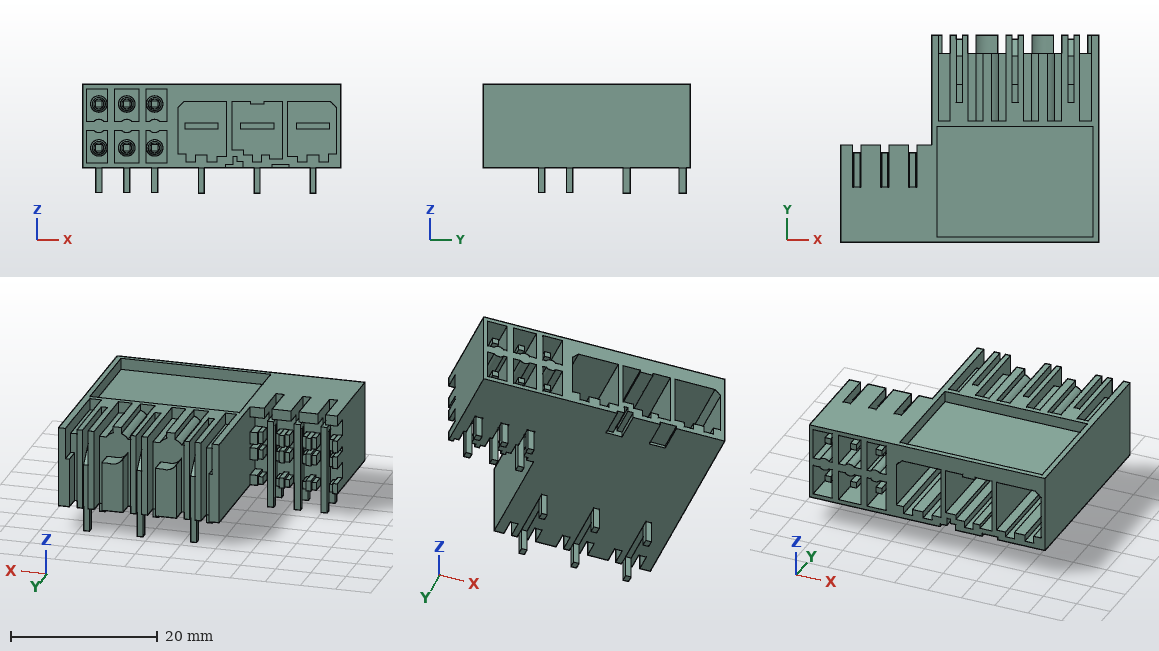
import cadquery as cq
import math

WIDTH = 35.25
DEPTH = 28.3
HEIGHT = 11.42
WING_DEPTH = 13.33
MID_HEIGHT = HEIGHT / 2

SIGNAL_PITCH = 3.8
SIGNAL_X = [2.22 + column * SIGNAL_PITCH for column in range(3)]
SIGNAL_ROW_OFFSET = 3.0
POWER_PITCH = 2 * SIGNAL_PITCH
POWER_X = [16.22 + column * POWER_PITCH for column in range(3)]
WING_WIDTH = 2 * POWER_X[1] - WIDTH

SIGNAL_WIRE = 0.88
SIGNAL_TIP_Y = 1.27
SIGNAL_TAIL = 3.4
LOWER_LEG_Y = 8.0
UPPER_LEG_Y = LOWER_LEG_Y + SIGNAL_PITCH
SIGNAL_ROWS = [
    (MID_HEIGHT - SIGNAL_ROW_OFFSET, LOWER_LEG_Y),
    (MID_HEIGHT + SIGNAL_ROW_OFFSET, UPPER_LEG_Y),
]

SOCKET_DEPTH = 6.35
SOCKET_WIDE_SIDE = 1.65
SOCKET_NARROW_SIDE = 1.2
SOCKET_TOP = HEIGHT - 0.65
DIVIDER_HALF = 0.6
DIVIDER_BUMP_RADIUS = 0.9
BOSS_BASE_RADIUS = 1.13
BOSS_SHOULDER_RADIUS = 0.88
BOSS_TOP_RADIUS = 0.67
BOSS_BASE_ANGLE = 70
BOSS_TOP_ANGLE = 21

WING_SLOT_WIDTH = 1.13
WING_NOTCH_DEPTH = 2.4
NOTCH_OUTER = 4.23
NOTCH_INNER = 2.0
NOTCH_MIDDLE = 0.28
RECESS_HALF = 1.55
RECESS_LEDGE_WIDTH = 0.65
RECESS_LEDGE_SETBACK = 0.53
TOP_TOOTH_LEDGE_DROP = 0.05
LOW_TOOTH_LEDGE_DROP = 0.35

BLADE_WIDTH = 4.5
BLADE_THICKNESS = 0.78
BLADE_TIP_Y = 6.35
PLATE_THICKNESS = 0.8
PLATE_FRONT_Y = 19.08
PLATE_STEP_Y = 21.58
PLATE_REAR_Y = 27.75
PLATE_CHAMFER = 2.3
PLATE_TOP = 8.45
POWER_TAIL = 3.5
POWER_TAIL_WIDTH = 1.02

POWER_SOCKET_DEPTH = 14.1
POWER_SOCKET_TOP = 9.05
POWER_SOCKET_HALF = 3.45
SOCKET_GROOVE_FLOOR = 0.78
SOCKET_RIB_TOP = 1.73

CODING_DEPTH = 4.23
CODING_LOW = 0.42

TOP_POCKET_MARGIN = 0.78
TOP_POCKET_LENGTH = 15.02
TOP_POCKET_FLOOR = HEIGHT - 1.62

WELL_FLOOR = TOP_POCKET_FLOOR
WELL_FRONT_Y = 16.57
WELL_REAR_Y = 25.8
OUTER_WALL = 1.0
POST_LEFT = 1.27
POST_RIGHT = 1.15
REAR_GAP = 1.1
RIDGE_AXIS_Z = 8.7
RIDGE_RADIUS = 1.9
RIB_WIDTH = 1.2
SADDLE_RADIUS = 1.75
SADDLE_ARC_END = 0.4
LEDGE_Z = RIDGE_AXIS_Z - math.sqrt(SADDLE_RADIUS**2 - SADDLE_ARC_END**2)


def block(x, y, z):
    """Box given by its (low, high) limits along each axis."""
    size = (x[1] - x[0], y[1] - y[0], z[1] - z[0])
    return cq.Workplane("XY").box(*size, centered=False).translate((x[0], y[0], z[0]))


def along_y(outline, start, end):
    """Extrude an X-Z outline along Y from start to end."""
    return outline.extrude(start - end).translate((0, start, 0))


def outline_along_y(points, start, end):
    return along_y(cq.Workplane("XZ").polyline(points).close(), start, end)


def around(centre, width):
    return (centre - width / 2, centre + width / 2)


def signal_pin(x, axis_z, leg_y):
    across = around(x, SIGNAL_WIRE)
    leg = around(leg_y, SIGNAL_WIRE)
    bar = block(across, (SIGNAL_TIP_Y, leg[1]), around(axis_z, SIGNAL_WIRE))
    tail = block(across, leg, (-SIGNAL_TAIL, axis_z))
    return bar.union(tail)


def power_contact(x):
    across = around(x, PLATE_THICKNESS)
    blade_z = around(MID_HEIGHT, BLADE_THICKNESS)
    blade = block(around(x, BLADE_WIDTH), (BLADE_TIP_Y, PLATE_FRONT_Y), blade_z)
    front_tail_end = PLATE_FRONT_Y + POWER_TAIL_WIDTH
    rear_tail_start = PLATE_REAR_Y - POWER_TAIL_WIDTH
    plate = (
        cq.Workplane("YZ")
        .moveTo(PLATE_FRONT_Y, -POWER_TAIL)
        .lineTo(PLATE_FRONT_Y, blade_z[1])
        .lineTo(PLATE_STEP_Y, blade_z[1])
        .lineTo(PLATE_STEP_Y, PLATE_TOP)
        .lineTo(PLATE_REAR_Y - PLATE_CHAMFER, PLATE_TOP)
        .lineTo(PLATE_REAR_Y, PLATE_TOP - PLATE_CHAMFER)
        .lineTo(PLATE_REAR_Y, -POWER_TAIL)
        .lineTo(rear_tail_start, -POWER_TAIL)
        .lineTo(rear_tail_start, 0)
        .lineTo(front_tail_end, 0)
        .lineTo(front_tail_end, -POWER_TAIL)
        .close()
        .extrude(PLATE_THICKNESS)
        .translate((across[0], 0, 0))
    )
    return blade.union(plate)


def signal_boss(x, z):
    base_height = (BOSS_BASE_RADIUS - BOSS_SHOULDER_RADIUS) * math.tan(math.radians(BOSS_BASE_ANGLE))
    top_height = (BOSS_SHOULDER_RADIUS - BOSS_TOP_RADIUS) * math.tan(math.radians(BOSS_TOP_ANGLE))
    profile = [
        (0, 0),
        (BOSS_BASE_RADIUS, 0),
        (BOSS_SHOULDER_RADIUS, -base_height),
        (BOSS_TOP_RADIUS, -base_height - top_height),
        (0, -base_height - top_height),
    ]
    boss = cq.Workplane("XY").polyline(profile).close().revolve(360, (0, 0, 0), (0, 1, 0))
    return boss.translate((x, SOCKET_DEPTH, z))


def signal_sockets():
    """Upper and lower socket of every column, with a round bump on the divider between them."""
    left_sides = [SOCKET_WIDE_SIDE, SOCKET_WIDE_SIDE, SOCKET_NARROW_SIDE]
    right_sides = [SOCKET_NARROW_SIDE, SOCKET_WIDE_SIDE, SOCKET_WIDE_SIDE]
    sockets = cq.Workplane("XY")
    for x, left, right in zip(SIGNAL_X, left_sides, right_sides):
        across = (x - left, x + right)
        length = (0, SOCKET_DEPTH)
        column = block(across, length, (HEIGHT - SOCKET_TOP, SOCKET_TOP))
        divider = block(across, length, around(MID_HEIGHT, 2 * DIVIDER_HALF))
        bump = along_y(cq.Workplane("XZ").center(x, MID_HEIGHT).circle(DIVIDER_BUMP_RADIUS), *length)
        column = column.cut(divider).cut(bump)
        for z, _ in SIGNAL_ROWS:
            column = column.cut(signal_boss(x, z))
        sockets = sockets.add(column)
    return sockets


def wing_notches():
    """Sideways notches across the rear of the signal wing, mirrored about mid height."""
    across = (0, WING_WIDTH)
    length = (WING_DEPTH - WING_NOTCH_DEPTH, WING_DEPTH)
    levels = [
        (-NOTCH_OUTER, -NOTCH_INNER),
        (-NOTCH_MIDDLE, NOTCH_MIDDLE),
        (NOTCH_INNER, NOTCH_OUTER),
    ]
    notches = cq.Workplane("XY")
    for low, high in levels:
        notches = notches.add(block(across, length, (MID_HEIGHT + low, MID_HEIGHT + high)))
    return notches


def wing_slots():
    """Upright slots that clear the signal tails."""
    front = LOWER_LEG_Y - SIGNAL_WIRE / 2
    slots = cq.Workplane("XY")
    for x in SIGNAL_X:
        slots = slots.add(block(around(x, WING_SLOT_WIDTH), (front, WING_DEPTH), (0, HEIGHT)))
    return slots


def tooth_recesses():
    """Recesses around the slots, each leaving a ledge along both of its sides."""
    front = WING_DEPTH - WING_NOTCH_DEPTH
    ledge_rear = WING_DEPTH - RECESS_LEDGE_SETBACK
    teeth = [
        (0, MID_HEIGHT - NOTCH_OUTER, LOW_TOOTH_LEDGE_DROP),
        (MID_HEIGHT - NOTCH_INNER, MID_HEIGHT - NOTCH_MIDDLE, LOW_TOOTH_LEDGE_DROP),
        (MID_HEIGHT + NOTCH_MIDDLE, MID_HEIGHT + NOTCH_INNER, TOP_TOOTH_LEDGE_DROP),
    ]
    opening_half = RECESS_HALF - RECESS_LEDGE_WIDTH
    recesses = cq.Workplane("XY")
    for x in SIGNAL_X:
        for bottom, top, drop in teeth:
            recess = block(around(x, 2 * RECESS_HALF), (front, WING_DEPTH), (bottom, top))
            ledges = [(x - RECESS_HALF, x - opening_half), (x + opening_half, x + RECESS_HALF)]
            for across in ledges:
                recess = recess.cut(block(across, (front, ledge_rear), (bottom, top - drop)))
            recesses = recesses.add(recess)
    return recesses


def outer_power_socket():
    """Left power socket, with its outer top corner cut off."""
    x = POWER_X[0]
    left_side = 3.2
    left, right = x - left_side, x + POWER_SOCKET_HALF
    corner = 0.85
    left_floor, right_floor = 1.87, 1.5
    groove_outer, rib_half = 2.1, 0.795
    points = [
        (left, left_floor),
        (left, POWER_SOCKET_TOP - corner),
        (left + corner, POWER_SOCKET_TOP),
        (right, POWER_SOCKET_TOP),
        (right, right_floor),
        (x + groove_outer, right_floor),
        (x + groove_outer, SOCKET_GROOVE_FLOOR),
        (x + rib_half, SOCKET_GROOVE_FLOOR),
        (x + rib_half, SOCKET_RIB_TOP),
        (x - rib_half, SOCKET_RIB_TOP),
        (x - rib_half, SOCKET_GROOVE_FLOOR),
        (x - groove_outer, SOCKET_GROOVE_FLOOR),
        (x - groove_outer, left_floor),
    ]
    return outline_along_y(points, 0, POWER_SOCKET_DEPTH)


def middle_power_socket():
    """Middle power socket, with a key on its ceiling and one groove in its floor."""
    x = POWER_X[1]
    key_half, key_depth = 0.9, 0.35
    left_floor, left_step = 2.45, 1.9
    right_floor, right_step = 1.2, 1.7
    groove_half = 0.617
    points = [
        (x - POWER_SOCKET_HALF, left_floor),
        (x - POWER_SOCKET_HALF, POWER_SOCKET_TOP),
        (x - key_half, POWER_SOCKET_TOP),
        (x - key_half, POWER_SOCKET_TOP - key_depth),
        (x + key_half, POWER_SOCKET_TOP - key_depth),
        (x + key_half, POWER_SOCKET_TOP),
        (x + POWER_SOCKET_HALF, POWER_SOCKET_TOP),
        (x + POWER_SOCKET_HALF, right_floor),
        (x + right_step, right_floor),
        (x + right_step, SOCKET_RIB_TOP),
        (x + groove_half, SOCKET_RIB_TOP),
        (x + groove_half, SOCKET_GROOVE_FLOOR),
        (x - groove_half, SOCKET_GROOVE_FLOOR),
        (x - groove_half, SOCKET_RIB_TOP),
        (x - left_step, SOCKET_RIB_TOP),
        (x - left_step, left_floor),
    ]
    return outline_along_y(points, 0, POWER_SOCKET_DEPTH)


def power_sockets():
    left = outer_power_socket()
    right = left.mirror("YZ", (POWER_X[1], 0, 0))
    return left.add(middle_power_socket()).add(right)


def coding_grooves():
    """One stepped groove and one flat groove, open to the underside and the front."""
    left, slit_left, slit_right, right = 19.55, 20.55, 21.1, 21.85
    slit_top, right_top = 1.55, 0.88
    stepped = [
        (left, 0),
        (left, CODING_LOW),
        (slit_left, CODING_LOW),
        (slit_left, slit_top),
        (slit_right, slit_top),
        (slit_right, right_top),
        (right, right_top),
        (right, 0),
    ]
    flat_left, flat_right = 25.85, 28.17
    flat = block((flat_left, flat_right), (0, CODING_DEPTH), (0, CODING_LOW))
    return outline_along_y(stepped, 0, CODING_DEPTH).add(flat)


def top_pocket():
    across = (WING_WIDTH + TOP_POCKET_MARGIN, WIDTH - TOP_POCKET_MARGIN)
    length = (TOP_POCKET_MARGIN, TOP_POCKET_MARGIN + TOP_POCKET_LENGTH)
    return block(across, length, (TOP_POCKET_FLOOR, HEIGHT))


def rear_well(left, right):
    """Well open to the top and the rear, deepened to the ledge at the rear end."""
    well = block((left, right), (WELL_FRONT_Y, WELL_REAR_Y), (WELL_FLOOR, HEIGHT))
    rear = block((left, right), (WELL_REAR_Y, DEPTH), (LEDGE_Z, HEIGHT))
    return well.union(rear)


def ridge(x):
    length = (WELL_FRONT_Y, WELL_REAR_Y)
    back = along_y(cq.Workplane("XZ").center(x, RIDGE_AXIS_Z).circle(RIDGE_RADIUS), *length)
    return back.union(block(around(x, RIB_WIDTH), length, (RIDGE_AXIS_Z, HEIGHT)))


def saddle_rest(x, left):
    """Material left standing above the ledge under the rising side of the saddle."""
    arc_end = x + SADDLE_ARC_END
    left_z = RIDGE_AXIS_Z - math.sqrt(SADDLE_RADIUS**2 - (x - left) ** 2)
    outline = (
        cq.Workplane("XZ")
        .moveTo(left, 0)
        .lineTo(left, left_z)
        .threePointArc((x, RIDGE_AXIS_Z - SADDLE_RADIUS), (arc_end, LEDGE_Z))
        .lineTo(arc_end, 0)
        .close()
    )
    return along_y(outline, WELL_REAR_Y, DEPTH)


def saddle_hollow(x):
    """Bottom of the saddle, which dips slightly below the ledge."""
    outline = (
        cq.Workplane("XZ")
        .moveTo(x - SADDLE_ARC_END, LEDGE_Z)
        .threePointArc((x, RIDGE_AXIS_Z - SADDLE_RADIUS), (x + SADDLE_ARC_END, LEDGE_Z))
        .close()
    )
    return along_y(outline, WELL_REAR_Y, DEPTH)


def rear_gap(left):
    """Gap beside a post, open from top to underside."""
    return block((left, left + REAR_GAP), (WELL_REAR_Y, DEPTH), (0, HEIGHT))


def cut_rear(housing):
    housing = housing.cut(rear_well(WING_WIDTH + OUTER_WALL, POWER_X[0] - POST_LEFT))
    for post in POWER_X[:-1]:
        middle = post + POWER_PITCH / 2
        left = post + POST_RIGHT
        well = rear_well(left, post + POWER_PITCH - POST_LEFT)
        housing = housing.cut(well.cut(ridge(middle)).cut(saddle_rest(middle, left + REAR_GAP)))
        housing = housing.cut(saddle_hollow(middle))
    housing = housing.cut(rear_well(POWER_X[-1] + POST_RIGHT, WIDTH - OUTER_WALL))
    for post in POWER_X:
        housing = housing.cut(rear_gap(post - POST_LEFT - REAR_GAP))
        housing = housing.cut(rear_gap(post + POST_RIGHT))
        plate_slot = block(around(post, PLATE_THICKNESS), (PLATE_FRONT_Y, DEPTH), (0, HEIGHT))
        housing = housing.cut(plate_slot)
    return housing


def make_housing(contacts):
    wing = block((0, WING_WIDTH), (0, WING_DEPTH), (0, HEIGHT))
    housing = wing.union(block((WING_WIDTH, WIDTH), (0, DEPTH), (0, HEIGHT)))
    for feature in (
        signal_sockets(),
        wing_notches(),
        wing_slots(),
        tooth_recesses(),
        power_sockets(),
        coding_grooves(),
        top_pocket(),
    ):
        for cutter in feature.vals():
            housing = housing.cut(cq.Workplane(cutter))
    housing = cut_rear(housing)
    for contact in contacts:
        housing = housing.cut(contact)
    return housing


signal_pins = [signal_pin(x, z, leg_y) for x in SIGNAL_X for z, leg_y in SIGNAL_ROWS]
power_contacts = [power_contact(x) for x in POWER_X]
contacts = signal_pins + power_contacts
housing = make_housing(contacts)

result = cq.Compound.makeCompound([housing.val(), *[contact.val() for contact in contacts]])